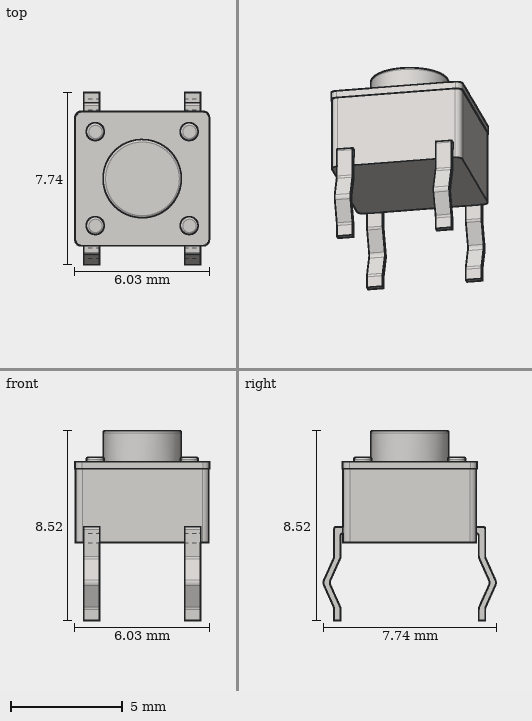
import cadquery as cq
import math

COVER_WIDTH = 6.03
COVER_THICKNESS = 0.32
COVER_OVERHANG = 0.025
HOUSING_WIDTH = COVER_WIDTH - 2 * COVER_OVERHANG
HOUSING_HEIGHT = 3.31
CORNER_RADIUS = 0.3
COVER_TOP = HOUSING_HEIGHT + COVER_THICKNESS

TOTAL_HEIGHT = 8.52
LEG_DROP = 3.5
BUTTON_DIAMETER = 3.51
BUTTON_HEIGHT = TOTAL_HEIGHT - LEG_DROP - COVER_TOP
RIVET_DIAMETER = 0.8
RIVET_HEIGHT = 0.2
RIVET_SPACING = 4.21
EDGE_ROUND = 0.1

FOOTPRINT_LENGTH = 7.74
LEG_WIDTH = 0.715
LEG_THICKNESS = 0.3
LEG_SPACING = 4.52
LEG_OUTER_FACE = 3.39
LEG_TOP = 0.71
LEG_EMBED = 0.34
KINK_MIDDLE = -1.8
KINK_LEAN = math.radians(24.2)
KINK_RADIUS = 0.3

KINK_TRIM = KINK_RADIUS * (1 / math.cos(KINK_LEAN) - 1)
KINK_CORNER = FOOTPRINT_LENGTH / 2 + KINK_TRIM
KINK_HALF_HEIGHT = (KINK_CORNER - LEG_OUTER_FACE) / math.tan(KINK_LEAN)


def rounded_plate(width, bottom, height):
    """Square plate with rounded vertical corners."""
    plate = cq.Workplane("XY").workplane(offset=bottom).rect(width, width).extrude(height)
    return plate.edges("|Z").fillet(CORNER_RADIUS)


def rounded_disc(x, y, diameter, height):
    """Disc standing on the cover, with its top edge rounded."""
    base = cq.Workplane("XY").workplane(offset=COVER_TOP).center(x, y)
    disc = base.circle(diameter / 2).extrude(height)
    return disc.faces(">Z").edges().fillet(EDGE_ROUND)


def leg(x):
    """Leg on the +Y side, centred at the given X."""
    leg_inner_face = LEG_OUTER_FACE - LEG_THICKNESS
    arm_end = HOUSING_WIDTH / 2 - LEG_EMBED
    arm_bottom = LEG_TOP - LEG_THICKNESS
    kink_top = KINK_MIDDLE + KINK_HALF_HEIGHT
    kink_bottom = KINK_MIDDLE - KINK_HALF_HEIGHT

    outline = [
        (arm_end, LEG_TOP),
        (LEG_OUTER_FACE, LEG_TOP),
        (LEG_OUTER_FACE, kink_top),
        (KINK_CORNER, KINK_MIDDLE),
        (LEG_OUTER_FACE, kink_bottom),
        (LEG_OUTER_FACE, -LEG_DROP),
        (leg_inner_face, -LEG_DROP),
        (leg_inner_face, kink_bottom),
        (KINK_CORNER - LEG_THICKNESS, KINK_MIDDLE),
        (leg_inner_face, kink_top),
        (leg_inner_face, arm_bottom),
        (arm_end, arm_bottom),
    ]
    strip_side = cq.Workplane("YZ").workplane(offset=x - LEG_WIDTH / 2)
    strip = strip_side.polyline(outline).close().extrude(LEG_WIDTH)

    kink_box = cq.selectors.BoxSelector(
        (x - LEG_WIDTH, arm_end, kink_bottom - KINK_RADIUS),
        (x + LEG_WIDTH, KINK_CORNER + KINK_RADIUS, kink_top + KINK_RADIUS),
    )
    strip = strip.edges("|X").edges(kink_box).fillet(KINK_RADIUS)

    bend_box = cq.selectors.BoxSelector(
        (x - LEG_WIDTH, leg_inner_face - EDGE_ROUND, arm_bottom - EDGE_ROUND),
        (x + LEG_WIDTH, LEG_OUTER_FACE + EDGE_ROUND, LEG_TOP + EDGE_ROUND),
    )
    return strip.edges("|X").edges(bend_box).fillet(EDGE_ROUND)


result = rounded_plate(HOUSING_WIDTH, 0, HOUSING_HEIGHT)
result = result.union(rounded_plate(COVER_WIDTH, HOUSING_HEIGHT, COVER_THICKNESS))
result = result.union(rounded_disc(0, 0, BUTTON_DIAMETER, BUTTON_HEIGHT))

for side_x in (-1, 1):
    for side_y in (-1, 1):
        rivet_x = side_x * RIVET_SPACING / 2
        rivet_y = side_y * RIVET_SPACING / 2
        result = result.union(rounded_disc(rivet_x, rivet_y, RIVET_DIAMETER, RIVET_HEIGHT))

    side_leg = leg(side_x * LEG_SPACING / 2)
    result = result.union(side_leg).union(side_leg.mirror("XZ"))